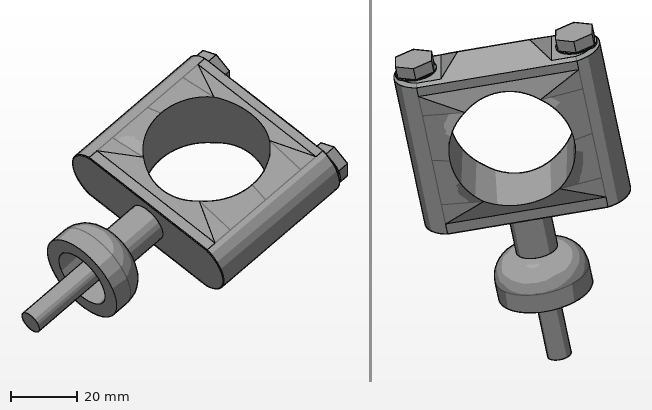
import cadquery as cq
import math

BODY_WIDTH = 63.17
BODY_HEIGHT = 19.05
BODY_FRONT_Y = -25.65
FRONT_BEVEL = 0.25
BODY_BACK_Y = 25.0
FLAT_HALF_WIDTH = 24.6

BORE_RADIUS_X = 19.05
BORE_RADIUS_Y = 19.35

PAD_HEIGHT = 2.53
PAD_HALF_LENGTH = 22.0
PAD_CREST_HALF_LENGTH = 15.35

PART_BACK_Y = 29.98
CAP_END_HEIGHT = 0.8
CAP_RISE_HALF_WIDTH = 17.0
CAP_TOP_HALF_WIDTH = 11.0

BOLT_ACROSS_FLATS = 11.1
WASHER_RADIUS = 6.3
WASHER_TOP_HEIGHT = 1.15

PART_LENGTH = 106.68
SHANK_RADIUS = 6.35
CUP_RADIUS = 14.48
CUP_BACK_Y = -40.1
CUP_FRONT_Y = -54.3
CUP_BORE_RADIUS = 9.6
CUP_BORE_DEPTH = 8.8
PIN_RADIUS = 3.65

FLAT_Z = BODY_HEIGHT / 2
CREST_Z = FLAT_Z + PAD_HEIGHT
CAP_HEIGHT = PART_BACK_Y - BODY_BACK_Y
CAP_TAPER_ANGLE = math.degrees(math.atan2(FLAT_Z, CAP_HEIGHT))
CUP_ROUND_RADIUS = CUP_RADIUS - SHANK_RADIUS
CUP_ROUND_END_Y = CUP_BACK_Y - CUP_ROUND_RADIUS
CUP_FLOOR_Y = CUP_FRONT_Y + CUP_BORE_DEPTH
PIN_FRONT_Y = PART_BACK_Y - PART_LENGTH

CREST_ANGLE = math.degrees(math.asin(PAD_CREST_HALF_LENGTH / BORE_RADIUS_Y))
CREST_HALF_WIDTH = BORE_RADIUS_X * math.cos(math.radians(CREST_ANGLE))


def back_facing_plane(x, y):
    """Workplane at (x, y, 0) whose extrusions run toward +Y."""
    return cq.Workplane(cq.Plane(origin=(x, y, 0), xDir=(-1, 0, 0), normal=(0, 1, 0)))


def bar_outline(y):
    """Cross-section of the body at y: flat above and below, bowed at the sides."""
    return (
        back_facing_plane(0, y)
        .moveTo(-FLAT_HALF_WIDTH, FLAT_Z)
        .lineTo(FLAT_HALF_WIDTH, FLAT_Z)
        .threePointArc((BODY_WIDTH / 2, 0), (FLAT_HALF_WIDTH, -FLAT_Z))
        .lineTo(-FLAT_HALF_WIDTH, -FLAT_Z)
        .threePointArc((-BODY_WIDTH / 2, 0), (-FLAT_HALF_WIDTH, FLAT_Z))
        .close()
    )


def make_bar():
    """Straight bar whose front edges carry a small 45 degree bevel."""
    bevel_start_y = BODY_FRONT_Y + FRONT_BEVEL
    bar = bar_outline(bevel_start_y).extrude(BODY_BACK_Y - bevel_start_y)
    front = bar_outline(-bevel_start_y).extrude(FRONT_BEVEL, taper=45).mirror("XZ")
    return bar.union(front)


def make_pad_frustum():
    """Four-sided frustum that rises from the flat to the crest height."""
    return (
        cq.Workplane("XY", origin=(0, 0, FLAT_Z))
        .rect(2 * FLAT_HALF_WIDTH, 2 * PAD_HALF_LENGTH)
        .workplane(offset=PAD_HEIGHT)
        .rect(2 * CREST_HALF_WIDTH, 2 * PAD_CREST_HALF_LENGTH)
        .loft(ruled=True)
    )


def make_rim_edge():
    """Stretch of the bore's upper rim from the X axis to the pad's crest line."""
    return cq.Edge.makeEllipse(
        BORE_RADIUS_Y,
        BORE_RADIUS_X,
        pnt=cq.Vector(0, 0, CREST_Z),
        xdir=cq.Vector(0, -1, 0),
        angle1=90,
        angle2=90 + CREST_ANGLE,
    )


def polygon_face(*corners):
    return cq.Face.makeFromWires(cq.Wire.makePolygon(corners, close=True))


def make_pad_flank():
    """Quarter of the pad's sides, ruled from a straight outer edge up to the bore's rim.

    It reaches inward past the rim, so that cutting the bore leaves one plain wall.
    """
    outer_start = cq.Vector(FLAT_HALF_WIDTH, 0, FLAT_Z)
    outer_end = cq.Vector(FLAT_HALF_WIDTH, PAD_CREST_HALF_LENGTH, FLAT_Z)
    inner_start = cq.Vector(CREST_HALF_WIDTH, 0, FLAT_Z)
    inner_end = cq.Vector(CREST_HALF_WIDTH, PAD_CREST_HALF_LENGTH, FLAT_Z)
    top_start = cq.Vector(CREST_HALF_WIDTH, 0, CREST_Z)
    rim_start = cq.Vector(BORE_RADIUS_X, 0, CREST_Z)
    rim_end = cq.Vector(CREST_HALF_WIDTH, PAD_CREST_HALF_LENGTH, CREST_Z)

    rim = make_rim_edge()
    top_sides = [cq.Edge.makeLine(rim_end, top_start), cq.Edge.makeLine(top_start, rim_start)]
    faces = [
        cq.Face.makeRuledSurface(cq.Edge.makeLine(outer_start, outer_end), rim),
        cq.Face.makeFromWires(cq.Wire.assembleEdges([rim, *top_sides])),
        polygon_face(outer_start, outer_end, inner_end, inner_start),
        polygon_face(inner_start, inner_end, rim_end, top_start),
        polygon_face(outer_start, rim_start, top_start, inner_start),
        polygon_face(outer_end, rim_end, inner_end),
    ]
    return cq.Workplane(cq.Solid.makeSolid(cq.Shell.makeShell(faces)))


def make_pad():
    flank = make_pad_flank()
    side = flank.union(flank.mirror("XZ"))
    return make_pad_frustum().union(side).union(side.mirror("YZ"))


def make_bore():
    base = cq.Workplane("XY", origin=(0, 0, -CREST_Z))
    return base.ellipse(BORE_RADIUS_X, BORE_RADIUS_Y).extrude(2 * CREST_Z)


def make_cap():
    """Plate over the body's end, its edges sloping like the roof-shaped rib across its middle."""
    plate = bar_outline(BODY_BACK_Y).extrude(CAP_END_HEIGHT, taper=CAP_TAPER_ANGLE)
    roof = (
        cq.Workplane("YZ")
        .polyline([(BODY_BACK_Y, FLAT_Z), (PART_BACK_Y, 0), (BODY_BACK_Y, -FLAT_Z)])
        .close()
        .extrude(CAP_RISE_HALF_WIDTH, both=True)
    )
    rib_outline = (
        cq.Workplane("XY", origin=(0, BODY_BACK_Y, 0))
        .moveTo(-CAP_RISE_HALF_WIDTH, 0)
        .lineTo(CAP_RISE_HALF_WIDTH, 0)
        .lineTo(CAP_RISE_HALF_WIDTH, CAP_END_HEIGHT)
        .lineTo(CAP_TOP_HALF_WIDTH, CAP_HEIGHT)
        .lineTo(-CAP_TOP_HALF_WIDTH, CAP_HEIGHT)
        .lineTo(-CAP_RISE_HALF_WIDTH, CAP_END_HEIGHT)
        .close()
        .extrude(FLAT_Z, both=True)
    )
    return plate.union(roof.intersect(rib_outline))


def make_bolt(x):
    """Hexagonal head with corners up and down, on its washer."""
    across_corners = BOLT_ACROSS_FLATS / math.cos(math.radians(30))
    base = back_facing_plane(x, BODY_BACK_Y)
    washer = base.circle(WASHER_RADIUS).extrude(WASHER_TOP_HEIGHT)
    head = base.transformed(rotate=(0, 0, 90)).polygon(6, across_corners).extrude(CAP_HEIGHT)
    return washer.union(head)


def make_shank_cup_and_pin():
    """Shank, rounded cup with an open front bore, and pin, revolved about the Y axis."""
    round_offset = CUP_ROUND_RADIUS * math.sin(math.radians(45))
    round_middle = (SHANK_RADIUS + round_offset, CUP_ROUND_END_Y + round_offset)
    return (
        cq.Workplane("XY")
        .moveTo(0, BODY_FRONT_Y)
        .lineTo(SHANK_RADIUS, BODY_FRONT_Y)
        .lineTo(SHANK_RADIUS, CUP_BACK_Y)
        .threePointArc(round_middle, (CUP_RADIUS, CUP_ROUND_END_Y))
        .lineTo(CUP_RADIUS, CUP_FRONT_Y)
        .lineTo(CUP_BORE_RADIUS, CUP_FRONT_Y)
        .lineTo(CUP_BORE_RADIUS, CUP_FLOOR_Y)
        .lineTo(PIN_RADIUS, CUP_FLOOR_Y)
        .lineTo(PIN_RADIUS, PIN_FRONT_Y)
        .lineTo(0, PIN_FRONT_Y)
        .close()
        .revolve(360, (0, 0, 0), (0, 1, 0))
    )


pad = make_pad()
result = make_bar().union(pad).union(pad.mirror("XY")).cut(make_bore())
result = result.union(make_cap()).union(make_shank_cup_and_pin())
for bolt_x in (-FLAT_HALF_WIDTH, FLAT_HALF_WIDTH):
    result = result.union(make_bolt(bolt_x))